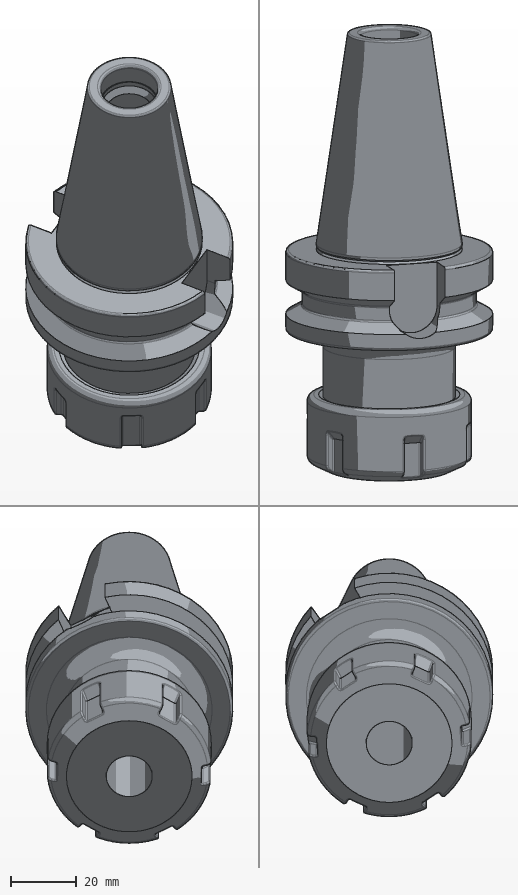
import cadquery as cq
import math


gauge_radius = 44.45 / 2
taper_length = 65.4
taper_ratio = 7 / 24
small_end_radius = gauge_radius - taper_length * taper_ratio / 2
small_end_fillet = 0.6

relief_top_z = -0.8
relief_depth = 0.5

flange_radius = 31.5
flange_top_z = -2.0
flange_bottom_z = -27.0
flange_fillet = 0.8
groove_center_z = -16.6
groove_mouth = 10.5
groove_radius = 26.5
groove_slope = math.radians(30)
groove_corner_fillet = 0.7

keyway_width = 16.1
keyway_floor_x = 22.5
keyway_bottom_z = -23.4

neck_radius = 20.2
neck_fillet = 5.0

nut_radius = 25.0
nut_top_z = -47.0
nut_bottom_z = -70.0
nut_top_fillet = 2.0
nut_mouth_radius = 21.5
nut_mouth_depth = 0.5
nut_face_radius = 19.1
nut_bevel_height = 2.95
nut_bevel_fillet = 2.0

slot_count = 6
slot_width = 6.0
slot_floor_distance = 22.0
slot_end_rise = 2.9
slot_corner_fillet = 0.5
slot_mouth_fillet = 0.5
long_slot_top_z = -52.4
short_slot_top_z = -54.9

cutter_overrun = 5.0

bore_radius = 7.0
counterbore_radius = 8.65
counterbore_depth = 6.7
counterbore_fillet = 1.0
bore_step_radius = 8.4
bore_step_height = 1.6
bore_cone_height = 2.0


def revolve_profile(sketch):
    """Revolve a closed (radius, z) outline around the Z axis."""
    return sketch.close().revolve(360, (0, 0, 0), (0, 1, 0))


def circles_at(body, radius, z):
    """Pick the circular edges of the body that have the given radius and height."""
    tolerance = 0.01

    def matches(edge):
        center = edge.Center()
        return abs(center.z - z) < tolerance and abs(edge.radius() - radius) < tolerance

    return [edge for edge in body.edges("%CIRCLE").vals() if matches(edge)]


def fillet_circle(body, radius, z, fillet_radius):
    """Round the circular edge at the given radius and height."""
    return body.newObject(circles_at(body, radius, z)).fillet(fillet_radius)


def make_shank_and_flange():
    """Taper, relief groove, flange with V-groove, and neck."""
    groove_top_z = groove_center_z + groove_mouth / 2
    groove_low_z = groove_center_z - groove_mouth / 2
    wall_drop = (flange_radius - groove_radius) * math.tan(groove_slope)
    wall_top_z = groove_top_z - wall_drop
    wall_low_z = groove_low_z + wall_drop
    relief_radius = gauge_radius - relief_depth
    relief_low_z = relief_top_z - relief_depth

    body = revolve_profile(
        cq.Workplane("XZ")
        .moveTo(0, taper_length)
        .lineTo(small_end_radius, taper_length)
        .lineTo(gauge_radius, 0)
        .lineTo(gauge_radius, relief_top_z)
        .lineTo(relief_radius, relief_low_z)
        .lineTo(gauge_radius, flange_top_z)
        .lineTo(flange_radius, flange_top_z)
        .lineTo(flange_radius, groove_top_z)
        .lineTo(groove_radius, wall_top_z)
        .lineTo(groove_radius, wall_low_z)
        .lineTo(flange_radius, groove_low_z)
        .lineTo(flange_radius, flange_bottom_z)
        .lineTo(neck_radius, flange_bottom_z)
        .lineTo(neck_radius, nut_bottom_z + nut_bevel_height)
        .lineTo(0, nut_bottom_z + nut_bevel_height)
    )
    body = fillet_circle(body, small_end_radius, taper_length, small_end_fillet)
    body = fillet_circle(body, flange_radius, flange_top_z, flange_fillet)
    body = fillet_circle(body, flange_radius, flange_bottom_z, flange_fillet)
    body = fillet_circle(body, groove_radius, wall_top_z, groove_corner_fillet)
    body = fillet_circle(body, groove_radius, wall_low_z, groove_corner_fillet)
    return fillet_circle(body, neck_radius, flange_bottom_z, neck_fillet)


def make_keyway(side):
    """Cutter for one drive keyway with a round lower end; side is +1 or -1 along X."""
    half_width = keyway_width / 2
    end_center_z = keyway_bottom_z + half_width
    cutter_depth = flange_radius - keyway_floor_x + cutter_overrun
    return (
        cq.Workplane("YZ", origin=(side * keyway_floor_x, 0, 0))
        .moveTo(-half_width, 0)
        .lineTo(-half_width, end_center_z)
        .threePointArc((0, keyway_bottom_z), (half_width, end_center_z))
        .lineTo(half_width, 0)
        .close()
        .extrude(side * cutter_depth)
    )


def make_nut():
    """Collet nut without its wrench slots."""
    bevel_top_z = nut_bottom_z + nut_bevel_height
    nut = revolve_profile(
        cq.Workplane("XZ")
        .moveTo(0, nut_top_z - nut_mouth_depth)
        .lineTo(neck_radius, nut_top_z - nut_mouth_depth)
        .lineTo(nut_mouth_radius, nut_top_z)
        .lineTo(nut_radius, nut_top_z)
        .lineTo(nut_radius, bevel_top_z)
        .lineTo(nut_face_radius, nut_bottom_z)
        .lineTo(0, nut_bottom_z)
    )
    nut = fillet_circle(nut, nut_radius, nut_top_z, nut_top_fillet)
    return fillet_circle(nut, nut_radius, bevel_top_z, nut_bevel_fillet)


def make_wrench_slot(angle, top_z):
    """Cutter for a wrench slot with a flat floor and a sloping upper end."""
    slope = slot_end_rise / (nut_radius - slot_floor_distance)
    outer_distance = nut_radius + cutter_overrun
    outer_top_z = top_z + slope * (outer_distance - nut_radius)
    low_z = nut_bottom_z - cutter_overrun
    cutter = (
        cq.Workplane("XZ")
        .moveTo(slot_floor_distance, low_z)
        .lineTo(slot_floor_distance, top_z - slot_end_rise)
        .lineTo(outer_distance, outer_top_z)
        .lineTo(outer_distance, low_z)
        .close()
        .extrude(slot_width / 2, both=True)
    )
    cutter = cutter.edges("(|Z and <X) or (not (|X or |Y or |Z))").fillet(slot_corner_fillet)
    return cutter.rotate((0, 0, 0), (0, 0, 1), angle)


def on_slot_mouth(edge, plain_nut_shell, angle):
    """True if the edge is part of the rim of the slot at this angle, on the outside of the nut."""
    tolerance = 0.001
    direction = math.radians(angle)
    radial = cq.Vector(math.cos(direction), math.sin(direction), 0)
    tangential = cq.Vector(-math.sin(direction), math.cos(direction), 0)
    for point in edge.positions([0, 0.5, 1]):
        inside_width = abs(point.dot(tangential)) < slot_width / 2 + tolerance
        on_slot_side = point.dot(radial) > 0
        vertex = cq.Vertex.makeVertex(*point.toTuple())
        if not (inside_width and on_slot_side and plain_nut_shell.distance(vertex) < tolerance):
            return False
    return True


def cut_wrench_slot(nut, plain_nut_shell, angle, top_z):
    """Cut one wrench slot and round its rim."""
    nut = nut.cut(make_wrench_slot(angle, top_z))
    rim = [edge for edge in nut.edges().vals() if on_slot_mouth(edge, plain_nut_shell, angle)]
    return nut.newObject(rim).fillet(slot_mouth_fillet)


def make_bore():
    """Through bore with a short step and a cone below a rounded counterbore at the small end."""
    step_z = taper_length - counterbore_depth
    cone_top_z = step_z - bore_step_height
    rim_z = taper_length - counterbore_fillet
    arc_center_radius = counterbore_radius + counterbore_fillet
    arc_offset = counterbore_fillet * math.sqrt(0.5)
    return revolve_profile(
        cq.Workplane("XZ")
        .moveTo(0, taper_length)
        .lineTo(arc_center_radius, taper_length)
        .threePointArc((arc_center_radius - arc_offset, rim_z + arc_offset), (counterbore_radius, rim_z))
        .lineTo(counterbore_radius, step_z)
        .lineTo(bore_step_radius, step_z)
        .lineTo(bore_step_radius, cone_top_z)
        .lineTo(bore_radius, cone_top_z - bore_cone_height)
        .lineTo(bore_radius, nut_bottom_z)
        .lineTo(0, nut_bottom_z)
    )


nut = make_nut()
plain_nut_shell = nut.val().Shells()[0]
for index in range(slot_count):
    angle = index * 360 / slot_count
    on_long_half = math.cos(math.radians(angle)) > 0
    slot_top_z = long_slot_top_z if on_long_half else short_slot_top_z
    nut = cut_wrench_slot(nut, plain_nut_shell, angle, slot_top_z)

result = make_shank_and_flange()
for side in (1, -1):
    result = result.cut(make_keyway(side))
result = result.union(nut).cut(make_bore())